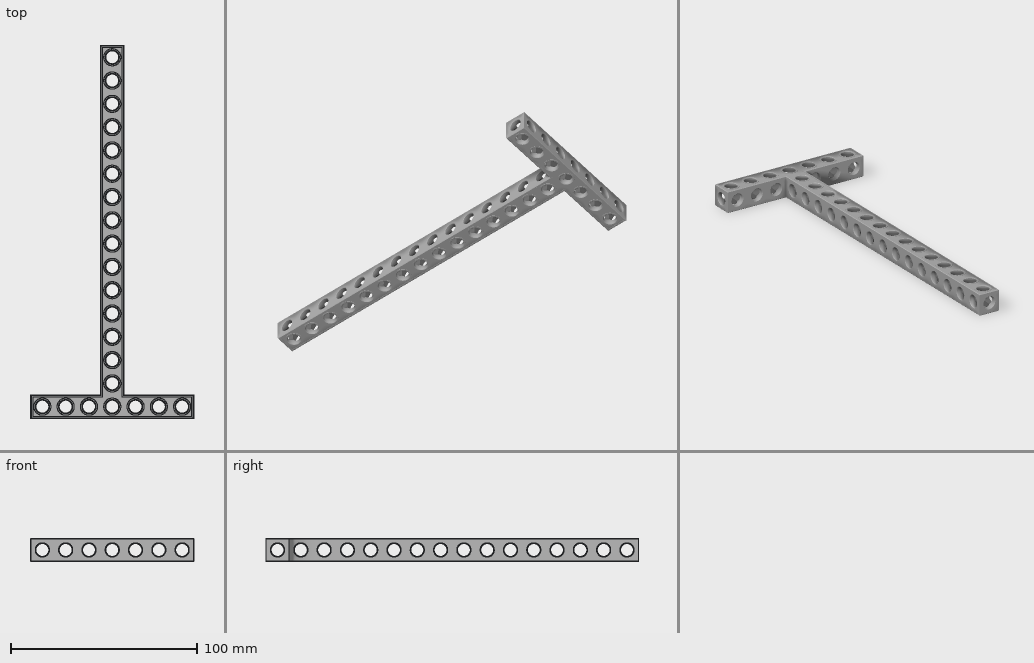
import cadquery as cq

long_length = 200.0
long_holes = 16
cross_holes = 7
pitch = long_length / long_holes
beam_size = pitch
cross_length = cross_holes * pitch
half_beam = beam_size / 2
half_cross = cross_length / 2
long_end_y = long_length - half_beam

bore_diameter = 7.0
edge_chamfer = 0.3

rim_width = 1.1
recess_depth = 0.2
ring_diameter = 9.2

cross_positions = [(i - (cross_holes - 1) / 2) * pitch for i in range(cross_holes)]
arm_positions = [x for x in cross_positions if x != 0]
long_positions = [i * pitch for i in range(1, long_holes)]
plan_centers = [(x, 0) for x in cross_positions] + [(0, y) for y in long_positions]


def tee(inset, bottom_z, height):
    """T-shaped slab with its outline moved inward by inset."""
    slab_width = beam_size - 2 * inset
    base = cq.Workplane("XY", origin=(0, 0, bottom_z))
    cross_beam = base.rect(cross_length - 2 * inset, slab_width).extrude(height)
    long_beam = (
        base.center(0, (long_end_y - half_beam) / 2)
        .rect(slab_width, long_length - 2 * inset)
        .extrude(height)
    )
    return cross_beam.union(long_beam).clean()


def recess(bottom_z):
    """Shallow pocket inside the rim, with the rings around the holes left standing."""
    rings = (
        cq.Workplane("XY", origin=(0, 0, bottom_z))
        .pushPoints(plan_centers)
        .circle(ring_diameter / 2)
        .extrude(recess_depth)
    )
    return tee(rim_width, bottom_z, recess_depth).cut(rings)


def hole_tool(start, direction, length):
    """Through hole cutter with a chamfered mouth at each end."""
    bore_radius = bore_diameter / 2
    mouth_radius = bore_radius + edge_chamfer
    start = cq.Vector(*start)
    direction = cq.Vector(*direction)
    end = start + direction * length
    bore = cq.Solid.makeCylinder(bore_radius, length, start, direction)
    start_mouth = cq.Solid.makeCone(mouth_radius, bore_radius, edge_chamfer, start, direction)
    end_mouth = cq.Solid.makeCone(mouth_radius, bore_radius, edge_chamfer, end, direction * -1)
    return bore.fuse(start_mouth, end_mouth)


def drill(body, starts, direction, length):
    """Cut equal chamfered holes from each start point along one direction."""
    for start in starts:
        body = body.cut(cq.Workplane(hole_tool(start, direction, length)))
    return body


body = tee(0, -half_beam, beam_size).faces("|Z").edges().chamfer(edge_chamfer)
body = body.cut(recess(half_beam - recess_depth)).cut(recess(-half_beam))

body = drill(body, [(x, y, -half_beam) for x, y in plan_centers], (0, 0, 1), beam_size)

body = drill(body, [(x, -half_beam, 0) for x in arm_positions], (0, 1, 0), beam_size)
body = drill(body, [(0, -half_beam, 0)], (0, 1, 0), long_length)

body = drill(body, [(-half_beam, y, 0) for y in long_positions], (1, 0, 0), beam_size)
body = drill(body, [(-half_cross, 0, 0)], (1, 0, 0), cross_length)

result = body